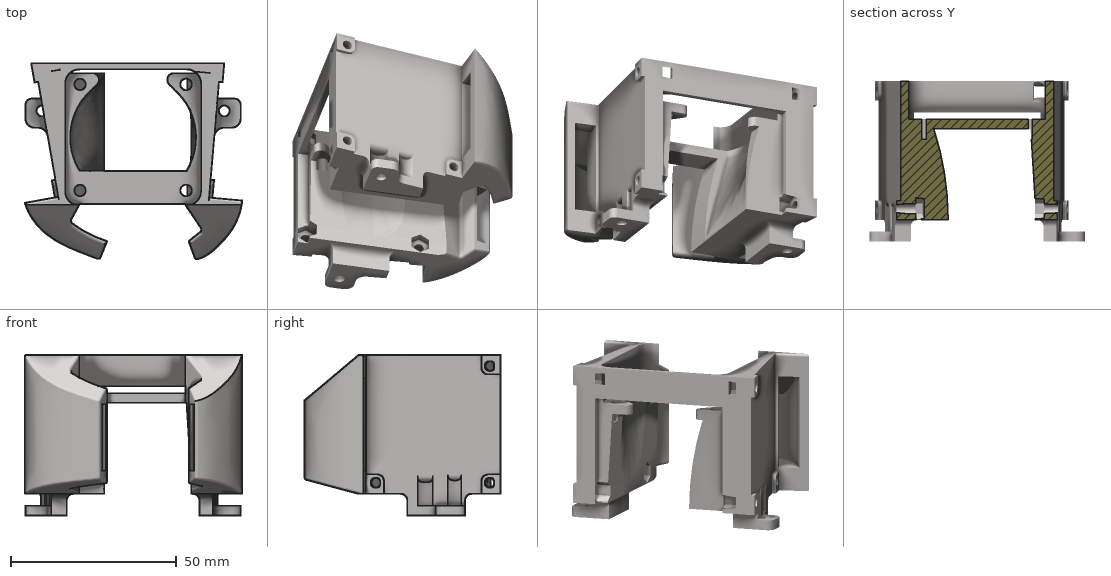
import cadquery as cq
import math


BODY_HEIGHT = 42.0
BACK_Y = 22.45
FRONT_Y = -20.1
LEFT_TILT = 10.0
RIGHT_TILT = 5.0
LEFT_WALL_X = -25.71
RIGHT_WALL_X = 24.47

FAN_POCKET = 41.0
FAN_POCKET_CORNER = 4.3
FAN_RADIUS = 19.0
FAN_HOLE_PITCH = 32.0
FAN_HOLE_DIAMETER = 3.45
FAN_HOLE_FLOOR_Z = 24.5
SHELF_TOP_Z = 30.4
SHELF_BOTTOM_Z = 27.5
SHELF_BACK_Y = 19.4
BEAM_BACK_Y = -10.1
LOBE_RADIUS = 2.0
FRONT_OPENING = 31.5
BACK_BAR_BOTTOM_Z = 32.5

LEFT_DUCT_X = -8.65
LEFT_DUCT_TOP_X = -13.0
LEFT_DUCT_MIDDLE_X = -9.95
LEFT_DUCT_MIDDLE_Z = 15.1
RIGHT_DUCT_X = 17.5
RIGHT_DUCT_TOP_X = 16.1
RIGHT_TAPER_BOTTOM_Z = 5.0
FUNNEL_INSET = 0.2

PAD_REACH = 2.5
PAD_HEIGHT = 1.1
PAD_CORNER = 2.0
PAD_FRONT_END_Y = -18.5
PAD_HOLE_DIAMETER = 3.0
PAD_HOLE_Z = 3.4
UPPER_HOLE_Z = BODY_HEIGHT - PAD_HOLE_Z
PAD_BACK_HOLE_Y = 19.2
PAD_FRONT_HOLE_Y = -15.2
NUT_ACROSS_CORNERS = 6.35
NUT_FLOOR = {-1: 4.7, 1: 3.0}
NUT_THICKNESS = 2.4
LEFT_OPEN_NUT = 4.5
RIGHT_OPEN_NUT = 6.2

FOOT_DROP = 6.5
FOOT_BACK_Y = 11.75
FOOT_FRONT_Y = -5.75
FOOT_INNER_X = 20.0
FOOT_FILLET = 1.9
EAR_THICKNESS = 3.0
EAR_TOP_Z = EAR_THICKNESS - FOOT_DROP
EAR_TIP_X = 32.5
EAR_FRONT_Y = 2.9
EAR_BACK_CORNER = 2.0
EAR_FRONT_CORNER = 2.8
EAR_ROOT_FILLET = 3.0
EAR_HOLE_X = 27.5
EAR_HOLE_Y = 8.0
EAR_HOLE_DIAMETER = 3.2
HEAD_GROOVE_RADIUS = 3.05
HEAD_GROOVE_Y = 8.35
HEAD_ROOF_ROUND = 2.2
SMALL_GROOVE_RADIUS = 2.6
SMALL_ROOF_ROUND = 1.8
SMALL_GROOVE_Y = -0.4
SMALL_STANDOFF = 1.2
GROOVE_STRAIGHT_Z = 3.5
ROUND_MARGIN = 0.002

HOOD_START_Y = -20.3
HOOD_TIP_Y = -36.9
LEFT_FLANGE_Y = -17.9
RIGHT_FLANGE_Y = -18.1
LEFT_INNER_X = 16.2
RIGHT_INNER_X = 15.75
HOOD_TOP_SLOPE = 40.0
HOOD_BOTTOM_SLOPE = 15.0
HOOD_ROUND = 0.8
HOOD_GAP_END_Y = -26.0
NOTCH_ROUND = 1.0
CHANNEL_BOTTOM_Z = 7.0
CHANNEL_TOP_Z = 35.0
OUTLET_TOP_Z = 27.0
CHANNEL_SLOPE_START_Y = -24.0
CHANNEL_SLOPE_END_Y = -31.0

FAR = 100.0
SIDES = (-1, 1)
TOLERANCE = 0.01


def wall_x(side, y):
    """X of the outer wall face at a given Y."""
    if side < 0:
        return LEFT_WALL_X - y * math.tan(math.radians(LEFT_TILT))
    return RIGHT_WALL_X + y * math.tan(math.radians(RIGHT_TILT))


def box(x0, x1, y0, y1, z0, z1):
    return cq.Workplane("XY").box(x1 - x0, y1 - y0, z1 - z0, centered=False).translate((x0, y0, z0))


def prism(points, z0, z1):
    return cq.Workplane("XY").workplane(offset=z0).polyline(points).close().extrude(z1 - z0)


def cylinder(radius, x, y, z0, z1):
    return cq.Workplane("XY").workplane(offset=z0).center(x, y).circle(radius).extrude(z1 - z0)


def side_prism(points):
    """Prism with a (Y, Z) outline, running across the whole width."""
    return cq.Workplane("YZ").polyline(points).close().extrude(FAR, both=True)


def wall_plane(side, y, z):
    """Work plane on an outer wall face: local y is up, the normal points outward."""
    tilt = math.radians(LEFT_TILT if side < 0 else RIGHT_TILT)
    normal = (side * math.cos(tilt), -math.sin(tilt), 0)
    along = (-normal[1], normal[0], 0)
    return cq.Workplane(cq.Plane(origin=(wall_x(side, y), y, z), xDir=along, normal=normal))


def make_body():
    corners = [(wall_x(-1, BACK_Y), BACK_Y), (wall_x(-1, FRONT_Y), FRONT_Y)]
    corners += [(wall_x(1, FRONT_Y), FRONT_Y), (wall_x(1, BACK_Y), BACK_Y)]
    return prism(corners, 0, BODY_HEIGHT)


def make_fan_pocket():
    pocket = box(-FAN_POCKET / 2, FAN_POCKET / 2, -FAN_POCKET / 2, FAN_POCKET / 2, SHELF_TOP_Z, BODY_HEIGHT)
    pocket = pocket.edges("|Z").fillet(FAN_POCKET_CORNER)
    front_gap = box(-FRONT_OPENING / 2, FRONT_OPENING / 2, -FAN_POCKET, 0, SHELF_TOP_Z, BODY_HEIGHT)
    return pocket.union(front_gap).intersect(box(-FAR, FAR, FRONT_Y, FAR, 0, BODY_HEIGHT))


def make_shelf_opening():
    """Fan opening in the shelf: round at the sides, straight in front, lobed at the back."""
    opening = cylinder(FAN_RADIUS, 0, 0, SHELF_BOTTOM_Z, SHELF_TOP_Z)
    opening = opening.intersect(box(-FAR, FAR, BEAM_BACK_Y, FAR, SHELF_BOTTOM_Z, SHELF_TOP_Z))
    lobe_y = SHELF_BACK_Y - LOBE_RADIUS
    flank = math.sqrt(0.5)
    lobe_x = (FAN_RADIUS + LOBE_RADIUS) / flank - lobe_y
    touch = FAN_RADIUS * flank
    tip = (lobe_x - LOBE_RADIUS * flank, lobe_y - LOBE_RADIUS * flank)
    opening = opening.union(box(-lobe_x, lobe_x, touch, BACK_Y, SHELF_BOTTOM_Z, SHELF_TOP_Z))
    for side in SIDES:
        outline = [(touch, touch), tip, (lobe_x, lobe_y), (lobe_x, SHELF_BACK_Y)]
        outline += [(FAN_RADIUS, SHELF_BACK_Y), (FAN_RADIUS, touch)]
        lobe = prism([(side * x, y) for x, y in outline], SHELF_BOTTOM_Z, SHELF_TOP_Z)
        lobe = lobe.union(cylinder(LOBE_RADIUS, side * lobe_x, lobe_y, SHELF_BOTTOM_Z, SHELF_TOP_Z))
        opening = opening.cut(lobe)
    return opening


def make_middle_gap():
    """Open middle below the shelf, running from the front to the back."""
    gap = (
        cq.Workplane("XZ")
        .moveTo(LEFT_DUCT_X, 0)
        .lineTo(RIGHT_DUCT_X, 0)
        .lineTo(RIGHT_DUCT_X, RIGHT_TAPER_BOTTOM_Z)
        .lineTo(RIGHT_DUCT_TOP_X, SHELF_BOTTOM_Z)
        .lineTo(LEFT_DUCT_TOP_X, SHELF_BOTTOM_Z)
        .threePointArc((LEFT_DUCT_MIDDLE_X, LEFT_DUCT_MIDDLE_Z), (LEFT_DUCT_X, 0))
        .close()
    )
    return gap.extrude(FAR, both=True)


def make_funnel():
    """Passage that blends from the fan circle down to the sides of the middle gap."""
    middle_x = (LEFT_DUCT_X + RIGHT_DUCT_X) / 2
    funnel = (
        cq.Workplane("XY")
        .center(middle_x, 0)
        .rect(RIGHT_DUCT_X - LEFT_DUCT_X - 2 * FUNNEL_INSET, 2 * FAN_RADIUS)
        .workplane(offset=SHELF_BOTTOM_Z)
        .center(-middle_x, 0)
        .circle(FAN_RADIUS)
        .loft()
    )
    return funnel.intersect(box(-FAR, FAR, BEAM_BACK_Y, SHELF_BACK_Y, 0, SHELF_BOTTOM_Z))


def make_back_gap():
    """Clears everything behind the shelf below the back bar."""
    half = FAN_POCKET / 2
    return box(-half, half, SHELF_BACK_Y, FAR, 0, BACK_BAR_BOTTOM_Z)


def make_fan_holes():
    holes = cq.Workplane("XY").workplane(offset=FAN_HOLE_FLOOR_Z)
    holes = holes.rect(FAN_HOLE_PITCH, FAN_HOLE_PITCH, forConstruction=True).vertices()
    return holes.circle(FAN_HOLE_DIAMETER / 2).extrude(SHELF_TOP_Z - FAN_HOLE_FLOOR_Z)


def make_pad(side, y, z):
    """Raised pad that runs to the nearest body edges; its inward corner is rounded."""
    toward_end = side * math.copysign(1, y)
    toward_edge = math.copysign(1, z - BODY_HEIGHT / 2)
    size = 4 * PAD_REACH
    shift = size / 2 - PAD_REACH
    pad = wall_plane(side, y, z).center(toward_end * shift, toward_edge * shift).rect(size, size)
    pad = pad.extrude(PAD_HEIGHT)
    outward = cq.selectors.ParallelDirSelector(wall_plane(side, y, z).plane.zDir)
    inward_corner = cq.selectors.NearestToPointSelector((side * FAR, 0, BODY_HEIGHT / 2))
    pad = pad.edges(outward).edges(inward_corner).fillet(PAD_CORNER)
    return pad.intersect(box(-FAR, FAR, PAD_FRONT_END_Y, BACK_Y, 0, BODY_HEIGHT))


def make_pad_hole(side, y, z, nut_length):
    """Screw hole with a hexagonal nut pocket on its inner end."""
    hole = wall_plane(side, y, z).workplane(offset=PAD_HEIGHT).circle(PAD_HOLE_DIAMETER / 2)
    hole = hole.extrude(-PAD_HEIGHT - NUT_FLOOR[side])
    nut = wall_plane(side, y, z).workplane(offset=-NUT_FLOOR[side]).transformed(rotate=(0, 0, 90))
    nut = nut.polygon(6, NUT_ACROSS_CORNERS).extrude(-nut_length)
    return hole.union(nut)


def add_feet(body):
    """Wall stubs under both side walls, filleted into the underside of the body."""
    for side in SIDES:
        outline = [(side * FOOT_INNER_X, FOOT_FRONT_Y), (wall_x(side, FOOT_FRONT_Y), FOOT_FRONT_Y)]
        outline += [(wall_x(side, FOOT_BACK_Y), FOOT_BACK_Y), (side * FOOT_INNER_X, FOOT_BACK_Y)]
        body = body.union(prism(outline, -FOOT_DROP, 0))
    left_limit = wall_x(-1, FOOT_FRONT_Y) - TOLERANCE
    right_limit = wall_x(1, FOOT_FRONT_Y) + TOLERANCE
    roots = cq.selectors.BoxSelector(
        (left_limit, FOOT_FRONT_Y - TOLERANCE, -TOLERANCE),
        (right_limit, FOOT_BACK_Y + TOLERANCE, TOLERANCE),
    )
    return body.edges(roots).fillet(FOOT_FILLET)


def make_ear(side):
    """Screw ear at the bottom of a foot, blended into the wall at its front."""
    root_x = wall_x(side, EAR_FRONT_Y)
    outline = [(side * FOOT_INNER_X, FOOT_BACK_Y), (side * EAR_TIP_X, FOOT_BACK_Y)]
    outline += [(side * EAR_TIP_X, EAR_FRONT_Y), (root_x, EAR_FRONT_Y)]
    outline += [(wall_x(side, FOOT_FRONT_Y), FOOT_FRONT_Y), (side * FOOT_INNER_X, FOOT_FRONT_Y)]
    ear = prism(outline, -FOOT_DROP, EAR_TOP_Z)
    for corner_y, radius in ((FOOT_BACK_Y, EAR_BACK_CORNER), (EAR_FRONT_Y, EAR_FRONT_CORNER)):
        corner = cq.selectors.NearestToPointSelector((side * EAR_TIP_X, corner_y, -FOOT_DROP))
        ear = ear.edges("|Z").edges(corner).fillet(radius)
    root = cq.selectors.NearestToPointSelector((root_x, EAR_FRONT_Y, -FOOT_DROP))
    return ear.edges("|Z").edges(root).fillet(EAR_ROOT_FILLET)


def make_groove(side, x, y, radius, roof_round):
    """Round groove in a wall, its flat roof rolling out into the wall face with a convex round."""
    groove = cylinder(radius, x, y, EAR_TOP_Z, GROOVE_STRAIGHT_Z + roof_round)
    face = wall_plane(side, y, GROOVE_STRAIGHT_Z).workplane(offset=-2 * radius)
    lintel = face.center(0, roof_round / 2).rect(FAR, roof_round).extrude(2 * radius)
    outer_edge = cq.selectors.NearestToPointSelector((wall_x(side, y), y, GROOVE_STRAIGHT_Z))
    lintel = lintel.edges(outer_edge).fillet(roof_round - ROUND_MARGIN)
    return groove.cut(lintel)


def hood_profile():
    """Side outline of both hoods, sloping toward the tip above and below."""
    run = HOOD_START_Y - HOOD_TIP_Y
    tip_top = BODY_HEIGHT - run * math.tan(math.radians(HOOD_TOP_SLOPE))
    tip_bottom = run * math.tan(math.radians(HOOD_BOTTOM_SLOPE))
    points = [(0, 0), (HOOD_START_Y, 0), (HOOD_TIP_Y, tip_bottom), (HOOD_TIP_Y, tip_top)]
    points += [(HOOD_START_Y, BODY_HEIGHT), (0, BODY_HEIGHT)]
    return side_prism(points)


def slope_rims(hood, slope, up, skip_outer):
    """Edges around a sloping hood face, without the one it shares with the flat behind it."""
    angle = math.radians(slope)
    facing = cq.selectors.ParallelDirSelector(cq.Vector(0, -math.sin(angle), up * math.cos(angle)), TOLERANCE)
    edges = hood.faces(facing).edges().vals()
    edges = [edge for edge in edges if edge.Center().y < HOOD_START_Y - TOLERANCE]
    if skip_outer:
        edges = [edge for edge in edges if edge.geomType() != "BSPLINE"]
    return edges


def finish_hood(plan, notch, tip_corner, back_edge, sharp_outer_top):
    """Slope a hood and round its notch, its rims, its tip and the top of its back edge."""
    plan = plan.edges("|Z").edges(cq.selectors.NearestToPointSelector((*notch, 0))).fillet(NOTCH_ROUND)
    tip = cq.selectors.NearestToPointSelector((*tip_corner, BODY_HEIGHT / 2))
    if not sharp_outer_top:
        plan = plan.edges("|Z").edges(tip).fillet(HOOD_ROUND)
    hood = plan.intersect(hood_profile())
    rims = slope_rims(hood, HOOD_TOP_SLOPE, 1, sharp_outer_top)
    rims += slope_rims(hood, HOOD_BOTTOM_SLOPE, -1, False)
    if sharp_outer_top:
        rims += hood.edges("|Z").edges(tip).vals()
    hood = cq.Workplane(hood.val().fillet(HOOD_ROUND, rims))
    return hood.edges(cq.selectors.NearestToPointSelector((*back_edge, BODY_HEIGHT))).fillet(HOOD_ROUND)


def make_left_hood():
    notch = (-19.0, -25.4)
    wall_corner = (wall_x(-1, LEFT_FLANGE_Y), LEFT_FLANGE_Y)
    outer_corner = (-32.7, -19.72)
    tip_corner = (-10.1, HOOD_TIP_Y)
    back_edge = ((wall_corner[0] + outer_corner[0]) / 2, (wall_corner[1] + outer_corner[1]) / 2)
    plan = (
        cq.Workplane("XY")
        .moveTo(-LEFT_INNER_X, LEFT_FLANGE_Y)
        .lineTo(*wall_corner)
        .lineTo(*outer_corner)
        .spline([(-30.9, -23.7), (-26.9, -28.5), (-18.3, -33.65), tip_corner], includeCurrent=True)
        .lineTo(-7.85, -31.3)
        .threePointArc((-13.5, -28.95), notch)
        .lineTo(-LEFT_INNER_X, HOOD_START_Y)
        .close()
        .extrude(BODY_HEIGHT)
    )
    return finish_hood(plan, notch, tip_corner, back_edge, sharp_outer_top=False)


def make_right_hood():
    notch = (20.9, -28.0)
    wall_corner = (wall_x(1, RIGHT_FLANGE_Y), RIGHT_FLANGE_Y)
    outer_corner = (32.95, -19.0)
    tip_corner = (18.8, HOOD_TIP_Y)
    back_edge = ((wall_corner[0] + outer_corner[0]) / 2, (wall_corner[1] + outer_corner[1]) / 2)
    plan = (
        cq.Workplane("XY")
        .moveTo(RIGHT_INNER_X, RIGHT_FLANGE_Y)
        .lineTo(*wall_corner)
        .lineTo(*outer_corner)
        .spline([(30.6, -26.5), (25.9, -32.5), (21.2, -36.1), tip_corner], includeCurrent=True)
        .lineTo(16.75, -31.3)
        .lineTo(*notch)
        .lineTo(RIGHT_INNER_X, HOOD_START_Y)
        .close()
        .extrude(BODY_HEIGHT)
    )
    return finish_hood(plan, notch, tip_corner, back_edge, sharp_outer_top=True)


def shape_channel(plan):
    """Limit an air channel to its floor and to its roof, which drops toward the outlet."""
    roof = [(0, CHANNEL_BOTTOM_Z), (-FAR, CHANNEL_BOTTOM_Z), (-FAR, OUTLET_TOP_Z)]
    roof += [(CHANNEL_SLOPE_END_Y, OUTLET_TOP_Z), (CHANNEL_SLOPE_START_Y, CHANNEL_TOP_Z), (0, CHANNEL_TOP_Z)]
    return plan.extrude(BODY_HEIGHT).intersect(side_prism(roof))


def make_left_channel():
    """Curved air channel; both ends run past the hood faces so that they open."""
    plan = (
        cq.Workplane("XY")
        .moveTo(-23.4, -17.5)
        .lineTo(-29.8, -17.5)
        .lineTo(-29.8, -19.2)
        .threePointArc((-22.5, -29.3), (-9.3, -34.8))
        .lineTo(-6.5, -35.9)
        .lineTo(-6.5, -31.6)
        .lineTo(-8.1, -32.3)
        .threePointArc((-18.5, -27.4), (-23.4, -18.1))
        .close()
    )
    return shape_channel(plan)


def make_right_channel():
    """Air channel of the shorter hood, also open at both ends."""
    plan = (
        cq.Workplane("XY")
        .moveTo(23.8, -17.5)
        .lineTo(30.5, -17.5)
        .lineTo(30.5, -18.8)
        .threePointArc((27.0, -28.8), (18.4, -35.6))
        .lineTo(15.5, -33.6)
        .lineTo(17.1, -32.3)
        .lineTo(22.2, -28.3)
        .lineTo(23.8, -18.2)
        .close()
    )
    return shape_channel(plan)


result = add_feet(make_body())
result = result.cut(make_fan_pocket()).cut(make_fan_holes())
for passage in (make_funnel(), make_middle_gap(), make_shelf_opening(), make_back_gap()):
    result = result.cut(passage)

pad_places = [
    (-1, PAD_BACK_HOLE_Y, UPPER_HOLE_Z, NUT_THICKNESS),
    (-1, PAD_BACK_HOLE_Y, PAD_HOLE_Z, LEFT_OPEN_NUT),
    (-1, PAD_FRONT_HOLE_Y, PAD_HOLE_Z, NUT_THICKNESS),
    (1, PAD_BACK_HOLE_Y, UPPER_HOLE_Z, RIGHT_OPEN_NUT),
    (1, PAD_BACK_HOLE_Y, PAD_HOLE_Z, RIGHT_OPEN_NUT),
    (1, PAD_FRONT_HOLE_Y, PAD_HOLE_Z, RIGHT_OPEN_NUT),
]
for side, y, z, nut_length in pad_places:
    result = result.union(make_pad(side, y, z)).cut(make_pad_hole(side, y, z, nut_length))

for side in SIDES:
    result = result.union(make_ear(side))
    ear_hole_x = side * EAR_HOLE_X
    result = result.cut(make_groove(side, ear_hole_x, HEAD_GROOVE_Y, HEAD_GROOVE_RADIUS, HEAD_ROOF_ROUND))
    small_x = wall_x(side, SMALL_GROOVE_Y) + side * SMALL_STANDOFF
    result = result.cut(make_groove(side, small_x, SMALL_GROOVE_Y, SMALL_GROOVE_RADIUS, SMALL_ROOF_ROUND))
    result = result.cut(cylinder(EAR_HOLE_DIAMETER / 2, ear_hole_x, EAR_HOLE_Y, -FOOT_DROP, EAR_TOP_Z))

hoods = make_left_hood().union(make_right_hood())
hoods = hoods.cut(box(-FAN_POCKET / 2, FAN_POCKET / 2, FRONT_Y, 0, 0, BODY_HEIGHT))
notch_gap = make_middle_gap().intersect(box(0, FAR, HOOD_GAP_END_Y, 0, 0, BODY_HEIGHT))
result = result.union(hoods.cut(notch_gap)).cut(make_left_channel()).cut(make_right_channel())